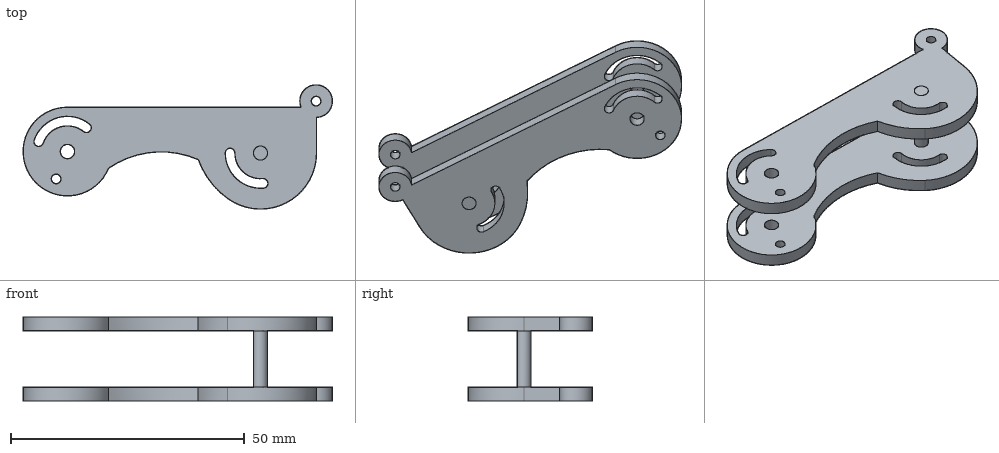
import cadquery as cq
import math

plate_thickness = 3.0
plate_gap = 12.0
upper_plate_z = plate_thickness + plate_gap
stack_height = upper_plate_z + plate_thickness

pivot_center = (0.0, 0.0)
head_radius = 9.5
pivot_hole_diameter = 3.0
small_hole_diameter = 2.0
small_hole_center = (-2.42, -5.85)

lobe_x, lobe_y = 41.25, -0.32
lobe_center = (lobe_x, lobe_y)
lobe_radius = 12.0
lobe_right_x = lobe_x + lobe_radius
pin_diameter = 3.0

eyelet_center = (53.14, 10.77)
eyelet_radius = 3.5
eyelet_hole_diameter = 2.0

hollow_radius = 19.8
hollow_head_angle = -22.2
hollow_lobe_end = (27.95, -1.75)
flare_angle = 234.1

slot_width = 2.0
slot_path_radius = 6.5
head_slot_angles = (51.3, 161.0)
lobe_slot_angles = (180.0, 275.0)


def polar(center, radius, angle):
    """Point at an angle in degrees on a circle."""
    turn = math.radians(angle)
    return (center[0] + radius * math.cos(turn), center[1] + radius * math.sin(turn))


def cylinder(center, diameter, height):
    """Upright cylinder standing on Z = 0."""
    return cq.Workplane("XY").center(*center).circle(diameter / 2).extrude(height)


def curved_slot(center, angles):
    """Cutter for a round-ended slot that follows an arc between two angles."""
    start, end = angles
    middle = (start + end) / 2
    outer_radius = slot_path_radius + slot_width / 2
    inner_radius = slot_path_radius - slot_width / 2
    slot = (
        cq.Workplane("XY")
        .moveTo(*polar(center, outer_radius, start))
        .threePointArc(polar(center, outer_radius, middle), polar(center, outer_radius, end))
        .lineTo(*polar(center, inner_radius, end))
        .threePointArc(polar(center, inner_radius, middle), polar(center, inner_radius, start))
        .close()
        .extrude(plate_thickness)
    )
    for angle in angles:
        end_center = polar(center, slot_path_radius, angle)
        slot = slot.union(cylinder(end_center, slot_width, plate_thickness))
    return slot


def plate_body():
    """Plate outline: straight top edge, lobe, flare, hollow and head."""
    flare_start = polar(lobe_center, lobe_radius, flare_angle)
    lobe_middle = polar(lobe_center, lobe_radius, (flare_angle + 360) / 2)
    hollow_head_end = polar(pivot_center, head_radius, hollow_head_angle)
    return (
        cq.Workplane("XY")
        .moveTo(0, head_radius)
        .lineTo(lobe_right_x, head_radius)
        .lineTo(lobe_right_x, lobe_y)
        .threePointArc(lobe_middle, flare_start)
        .tangentArcPoint(hollow_lobe_end, relative=False)
        .radiusArc(hollow_head_end, -hollow_radius)
        .threePointArc((-head_radius, 0), (0, head_radius))
        .close()
        .extrude(plate_thickness)
    )


def link_plate(bottom_z):
    """One link plate with its eyelet, holes and slots."""
    plate = plate_body().union(cylinder(eyelet_center, 2 * eyelet_radius, plate_thickness))
    holes = [
        (pivot_center, pivot_hole_diameter),
        (small_hole_center, small_hole_diameter),
        (lobe_center, pin_diameter),
        (eyelet_center, eyelet_hole_diameter),
    ]
    for center, diameter in holes:
        plate = plate.cut(cylinder(center, diameter, plate_thickness))
    plate = plate.cut(curved_slot(pivot_center, head_slot_angles))
    plate = plate.cut(curved_slot(lobe_center, lobe_slot_angles))
    return plate.translate((0, 0, bottom_z))


plates = [link_plate(bottom_z) for bottom_z in (0, upper_plate_z)]
pin = cylinder(lobe_center, pin_diameter, stack_height)

result = cq.Compound.makeCompound([*(plate.solids().val() for plate in plates), pin.val()])